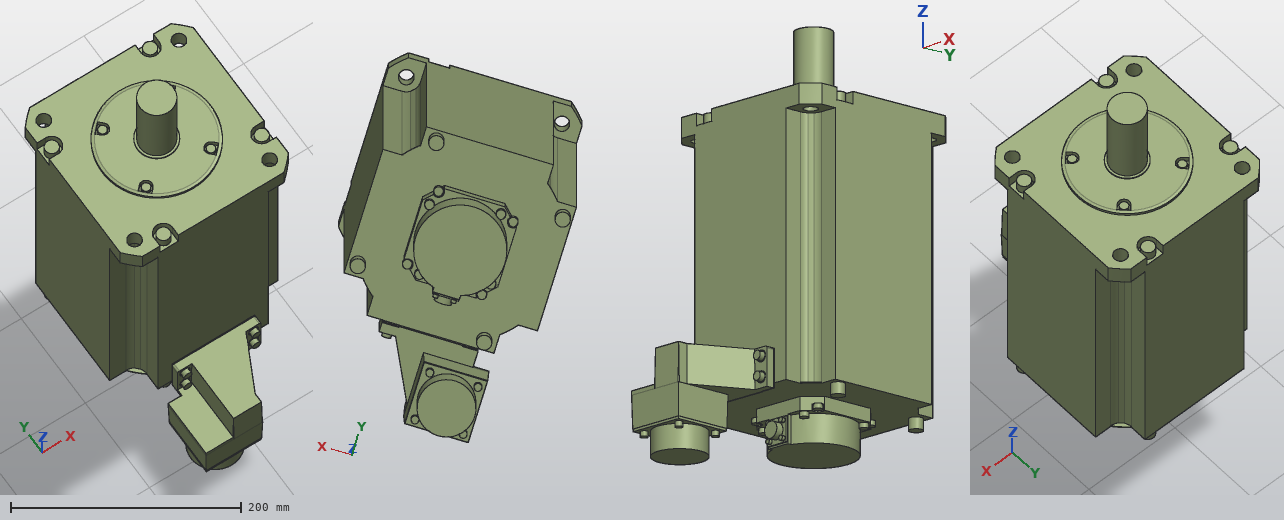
import cadquery as cq
import math


shaft_diameter = 35.0
overall_length = 404.38
shaft_length = 79.0
shoulder_diameter = 40.0
shoulder_top = 4.0
pilot_diameter = 114.3
pilot_height = 3.0
pilot_bevel_width = 2.9
pilot_bevel_height = 0.5

pilot_screw_circle = 96.0
pilot_screw_angle = 45.0
pilot_screw_head_diameter = 8.5
pilot_screw_head_height = 3.8
pilot_pocket_width = 12.0
pilot_pocket_depth = 5.0
pilot_pocket_reach = 5.6

body_width = 176.0
half_width = body_width / 2
flange_thickness = 19.0
flange_corner_diameter = 230.0
mount_hole_circle = 200.0
mount_hole_diameter = 13.5
mount_hole_offset = mount_hole_circle / 2 / math.sqrt(2)

tie_bolt_far = 79.0
tie_bolt_near = 46.0
tie_bolt_head_diameter = 13.3
tie_slot_width = 19.0
tie_slot_depth = 11.3
tie_front_head_height = 9.6
tie_rear_head_height = 10.7

body_bottom = -264.5
corner_relief_radius = 13.0
core_diameter = 174.6
rear_rim_diameter = 182.5
rear_rim_thickness = 1.0

encoder_base_width = 85.2
encoder_base_corner = 15.2
encoder_base_bottom = -277.2
encoder_diameter = 81.0
encoder_bottom = -304.0
encoder_pad_width = 24.4
encoder_screw_head_diameter = 8.5
encoder_screw_head_height = 4.7
encoder_inner_screw = (26.0, -36.0)
encoder_outer_screw = (38.5, -31.5)
encoder_recess_diameter = 10.0
encoder_recess_top = -271.6

signal_center_z = -290.5
signal_plate_width = 23.6
signal_plate_thickness = 1.7
signal_plug_diameter = 15.6
signal_plug_length = 9.0
signal_screw_pitch = 16.4
signal_screw_diameter = 4.6
signal_screw_height = 5.0

gasket_thickness = 1.0
gasket_inset = 0.5
housing_plate_width = 87.4
housing_plate_corner = 2.0
housing_top = -232.8
housing_bottom = -269.6
housing_plate_front = -97.6
housing_left = -28.7
housing_right_root = 28.0
housing_right_tip = 0.6
housing_taper_end = -152.8
housing_front = -163.31
draft_angle = 1.3
housing_screw_pitch_x = 71.8
housing_screw_z = (-240.5, -259.3)
housing_screw_head_diameter = 8.5
housing_screw_head_height = 4.8
housing_spotface_diameter = 10.5
housing_spotface_depth = 1.0

shelf_top = -265.6
shelf_front = housing_front
box_left = -58.0
box_back = -104.1
box_right = 1.4
box_bottom = -300.2
cover_inset = 0.3
cover_bottom = -302.6
socket_center = (-28.5, -133.5)
socket_diameter = 51.2
socket_bottom = shaft_length - overall_length
socket_screw_pitch = 43.8
socket_screw_diameter = 7.0
socket_screw_height = 4.8


def box(x_min, x_max, y_min, y_max, z_min, z_max):
    size = (x_max - x_min, y_max - y_min, z_max - z_min)
    return cq.Workplane("XY").box(*size, centered=False).translate((x_min, y_min, z_min))


def disc(diameter, z_min, z_max, center=(0, 0)):
    plane = cq.Workplane("XY").workplane(offset=z_min).center(*center)
    return plane.circle(diameter / 2).extrude(z_max - z_min)


def disc_facing_front(diameter, y_back, length, x, z):
    """Cylinder along -Y starting at y_back."""
    plane = cq.Workplane("XZ", origin=(x, y_back, z))
    return plane.circle(diameter / 2).extrude(length)


def quarter_turns(shape):
    """Union of the shape and its three quarter-turn copies about Z."""
    copies = shape
    for turn in range(1, 4):
        copies = copies.union(shape.rotate((0, 0, 0), (0, 0, 1), 90 * turn))
    return copies


def make_flange():
    flange = box(-half_width, half_width, -half_width, half_width, -flange_thickness, 0)
    flange = flange.intersect(disc(flange_corner_diameter, -flange_thickness, 0))
    mount_center = (mount_hole_offset, mount_hole_offset)
    hole = disc(mount_hole_diameter, -flange_thickness, 0, mount_center)
    return flange.cut(quarter_turns(hole))


def make_body():
    block = box(-half_width, half_width, -half_width, half_width, body_bottom, -flange_thickness)
    relief = disc(2 * corner_relief_radius, body_bottom, -flange_thickness,
                  (mount_hole_offset, mount_hole_offset))
    inner = mount_hole_offset - corner_relief_radius
    for x_min, y_min in ((mount_hole_offset, inner), (inner, mount_hole_offset)):
        relief = relief.union(box(x_min, half_width, y_min, half_width, body_bottom, -flange_thickness))
    body = block.cut(quarter_turns(relief))
    body = body.union(disc(core_diameter, body_bottom, -flange_thickness))
    rim = disc(rear_rim_diameter, body_bottom, body_bottom + rear_rim_thickness)
    rim = rim.intersect(block)
    return body.union(rim)


def make_pilot_and_shaft():
    pilot_radius = pilot_diameter / 2
    pilot_profile = [
        (0, 0),
        (pilot_radius, 0),
        (pilot_radius, pilot_height - pilot_bevel_height),
        (pilot_radius - pilot_bevel_width, pilot_height),
        (0, pilot_height),
    ]
    pilot = cq.Workplane("XZ").polyline(pilot_profile).close().revolve(360, (0, 0), (0, 1))
    shoulder = disc(shoulder_diameter, 0, shoulder_top)
    return pilot.union(shoulder).union(disc(shaft_diameter, 0, shaft_length))


def fit_pilot_screws(part):
    radius = pilot_screw_circle / 2
    floor = pilot_height - pilot_pocket_depth
    half_pocket = pilot_pocket_width / 2
    pocket = disc(pilot_pocket_width, floor, pilot_height, (radius, 0))
    wall = radius + pilot_pocket_reach
    pocket = pocket.union(box(radius, wall, -half_pocket, half_pocket, floor, pilot_height))
    pocket = pocket.intersect(box(0, wall, -half_pocket, half_pocket, floor, pilot_height))
    head = disc(pilot_screw_head_diameter, floor, floor + pilot_screw_head_height, (radius, 0))
    pockets = quarter_turns(pocket.rotate((0, 0, 0), (0, 0, 1), pilot_screw_angle))
    heads = quarter_turns(head.rotate((0, 0, 0), (0, 0, 1), pilot_screw_angle))
    return part.cut(pockets).union(heads)


def fit_tie_bolts(part):
    center = (tie_bolt_far, -tie_bolt_near)
    half_slot = tie_slot_width / 2
    slot = disc(tie_slot_width, -tie_slot_depth, 0, center)
    slot = slot.union(box(tie_bolt_far, half_width, -tie_bolt_near - half_slot,
                          -tie_bolt_near + half_slot, -tie_slot_depth, 0))
    front_head = disc(tie_bolt_head_diameter, -tie_slot_depth,
                      -tie_slot_depth + tie_front_head_height, center)
    rear_head = disc(tie_bolt_head_diameter, body_bottom - tie_rear_head_height, body_bottom, center)
    part = part.cut(quarter_turns(slot))
    return part.union(quarter_turns(front_head)).union(quarter_turns(rear_head))


def make_encoder():
    half_base = encoder_base_width / 2
    base = box(-half_base, half_base, -half_base, half_base, encoder_base_bottom, body_bottom)
    base = base.edges("|Z").chamfer(encoder_base_corner)
    recess = disc(encoder_recess_diameter, encoder_base_bottom, encoder_recess_top, encoder_outer_screw)
    base = base.cut(quarter_turns(recess))
    outer_head = disc(encoder_screw_head_diameter, encoder_recess_top - encoder_screw_head_height,
                      encoder_recess_top, encoder_outer_screw)
    inner_head = disc(encoder_screw_head_diameter, encoder_base_bottom - encoder_screw_head_height,
                      encoder_base_bottom, encoder_inner_screw)
    half_pad = encoder_pad_width / 2
    pad = box(-half_pad, half_pad, -half_base, 0, encoder_bottom, encoder_base_bottom)
    encoder = base.union(disc(encoder_diameter, encoder_bottom, encoder_base_bottom)).union(pad)
    return encoder.union(quarter_turns(outer_head)).union(quarter_turns(inner_head))


def make_signal_connector():
    back = -encoder_base_width / 2
    half_plate = signal_plate_width / 2
    connector = box(-half_plate, half_plate, back - signal_plate_thickness, back,
                    signal_center_z - half_plate, signal_center_z + half_plate)
    connector = connector.union(
        disc_facing_front(signal_plug_diameter, back, signal_plug_length, 0, signal_center_z))
    for x_side in (-1, 1):
        for z_side in (-1, 1):
            x = x_side * signal_screw_pitch / 2
            z = signal_center_z + z_side * signal_screw_pitch / 2
            connector = connector.union(
                disc_facing_front(signal_screw_diameter, back, signal_screw_height, x, z))
    return connector


def drafted_block(outline, z_top, z_bottom, flare):
    """Prism hung from z_top whose sides lean outwards (positive flare) or inwards going down."""
    plane = cq.Workplane("XY", origin=(0, 0, z_top)).polyline(outline).close()
    return plane.extrude(z_bottom - z_top, taper=-flare)


def make_power_housing():
    half_plate = housing_plate_width / 2
    plate_back = -half_width - gasket_thickness
    plate = box(-half_plate, half_plate, housing_plate_front, plate_back, housing_bottom, housing_top)
    plate = plate.edges("|Y and >Z").fillet(housing_plate_corner)
    half_gasket = half_plate - gasket_inset
    gasket = box(-half_gasket, half_gasket, plate_back, -half_width,
                 housing_bottom + gasket_inset, housing_top - gasket_inset)
    top_front = housing_front + (housing_top - housing_bottom) * math.tan(math.radians(draft_angle))
    tower_outline = [
        (housing_left, plate_back),
        (housing_right_root, plate_back),
        (housing_right_root, housing_plate_front),
        (housing_right_tip, housing_taper_end),
        (housing_right_tip, top_front),
        (housing_left, top_front),
    ]
    tower = drafted_block(tower_outline, housing_top, housing_bottom, draft_angle)
    seat = housing_plate_front + housing_spotface_depth
    screw_length = housing_screw_head_height + housing_spotface_depth
    heads = cq.Workplane("XY")
    for x_side in (-1, 1):
        for z in housing_screw_z:
            x = x_side * housing_screw_pitch_x / 2
            spotface = disc_facing_front(housing_spotface_diameter, seat, housing_spotface_depth, x, z)
            plate = plate.cut(spotface)
            heads = heads.add(disc_facing_front(housing_screw_head_diameter, seat, screw_length, x, z))
    return plate.union(gasket).union(tower).union(heads)


def make_power_socket():
    shelf = box(box_left, housing_left, shelf_front, box_back, housing_bottom, shelf_top)
    shelf = shelf.union(box(-housing_plate_width / 2, housing_left, box_back, housing_plate_front,
                            housing_bottom, shelf_top))
    box_outline = [
        (box_left, shelf_front),
        (box_right, shelf_front),
        (box_right, box_back),
        (box_left, box_back),
    ]
    lower_box = drafted_block(box_outline, housing_bottom, box_bottom, -draft_angle)
    box_narrowing = (housing_bottom - box_bottom) * math.tan(math.radians(draft_angle))
    margin = box_narrowing + cover_inset
    cover = box(box_left + margin, box_right - margin, shelf_front + margin, box_back - margin,
                cover_bottom, box_bottom)
    socket = shelf.union(lower_box).union(cover)
    socket = socket.union(disc(socket_diameter, socket_bottom, cover_bottom, socket_center))
    for x_side in (-1, 1):
        for y_side in (-1, 1):
            center = (socket_center[0] + x_side * socket_screw_pitch / 2,
                      socket_center[1] + y_side * socket_screw_pitch / 2)
            head = disc(socket_screw_diameter, cover_bottom - socket_screw_height, cover_bottom, center)
            socket = socket.union(head)
    return socket


motor = make_flange().union(make_body()).union(make_pilot_and_shaft())
motor = fit_pilot_screws(motor)
motor = fit_tie_bolts(motor)
motor = motor.union(make_encoder()).union(make_signal_connector())
result = motor.union(make_power_housing()).union(make_power_socket())